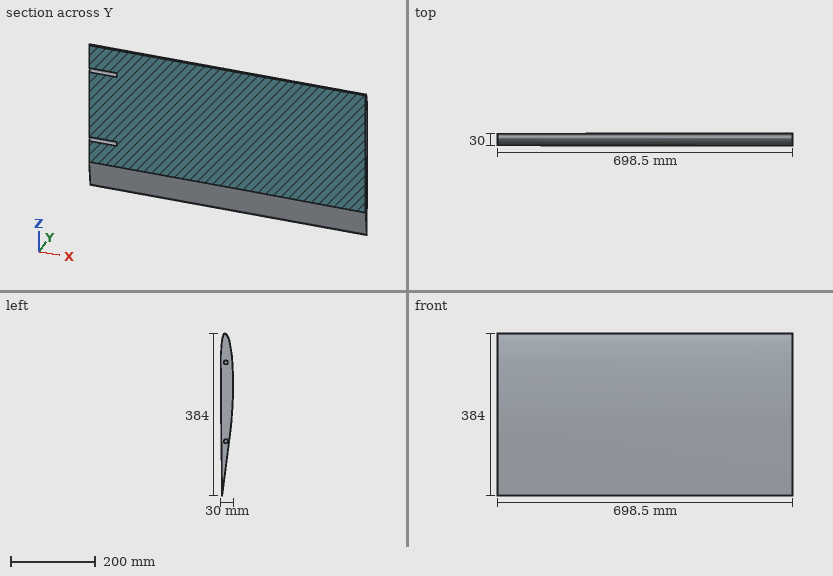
import cadquery as cq

span = 698.5
chord = 384.0
root_thickness_ratio = 0.96
trailing_edge_thickness = 1.05
trailing_edge_bevel = 4.0

leading_edge_height = 6.0
cambered_side = [
    (6.0, 13.0), (23.0, 19.0), (46.0, 23.0), (69.0, 25.0), (102.0, 26.5),
    (140.0, 26.5), (180.0, 25.0), (214.0, 22.5), (249.5, 18.0), (297.5, 12.0), (346.5, 5.5),
]
flat_side = [(258.0, -1.8), (106.0, -3.2), (69.0, -3.2), (46.0, -2.85), (20.0, -1.0), (8.5, 1.6)]

hole_diameter = 10.0
hole_height = 9.0
hole_length = 70.0
hole_depths_below_leading_edge = [68.5, 255.0]


def section_point(below_leading_edge, height):
    """Chordwise position and height as local (Y, Z) coordinates."""
    return (-height, chord - below_leading_edge)


def add_section(plane, thickness_ratio):
    """Closed airfoil: one curve around the nose and a beveled trailing edge."""
    def place(below_leading_edge, height):
        return section_point(below_leading_edge, height * thickness_ratio)

    trailing_camber = (-trailing_edge_thickness, trailing_edge_bevel)
    trailing_flat = (0, 0)
    around_nose = [place(*point) for point in reversed(cambered_side)]
    around_nose.append(place(0, leading_edge_height))
    around_nose += [place(*point) for point in reversed(flat_side)]
    around_nose.append(trailing_flat)
    return plane.moveTo(*trailing_camber).spline(around_nose, includeCurrent=True).close()


def make_panel():
    root = add_section(cq.Workplane("YZ"), root_thickness_ratio)
    return add_section(root.workplane(offset=span, origin=(0, 0, 0)), 1.0).loft(ruled=True)


def make_rod_holes():
    centers = [section_point(depth, hole_height) for depth in hole_depths_below_leading_edge]
    return cq.Workplane("YZ").pushPoints(centers).circle(hole_diameter / 2).extrude(hole_length)


result = make_panel().cut(make_rod_holes())